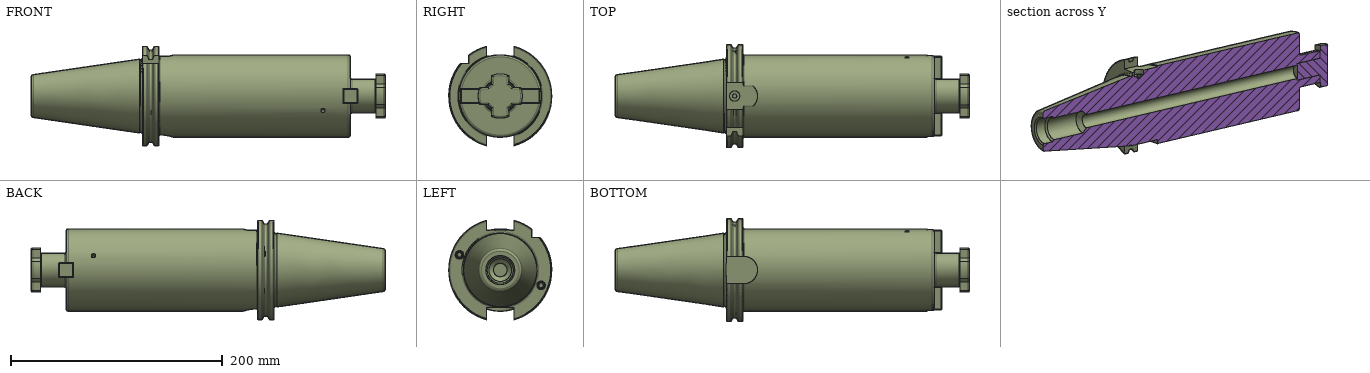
import cadquery as cq
import math

OVERALL_LENGTH = 334.8
OVERLAP = 3.5

GAUGE_DIAMETER = 70.0
GAUGE_RADIUS = GAUGE_DIAMETER / 2
TAPER_LENGTH = 102.5
TAPER_SLOPE = 7 / 48
TAPER_END_RADIUS = GAUGE_RADIUS - TAPER_LENGTH * TAPER_SLOPE
TAPER_END_FILLET = 2.7
COLLAR_RADIUS = 34.5
COLLAR_ROOT_FILLET = 1.7

FLANGE_DIAMETER = 97.5
FLANGE_RADIUS = FLANGE_DIAMETER / 2
FLANGE_WIDTH = 15.7
FLANGE_FRONT = 105.0
FLANGE_BACK = FLANGE_FRONT + FLANGE_WIDTH
FLANGE_FILLET = 1.0
GROOVE_CENTER = FLANGE_FRONT + FLANGE_WIDTH / 2
GROOVE_DEPTH = 3.18
GROOVE_MOUTH = 7.0
GROOVE_HALF_ANGLE = 30
GROOVE_FLOOR = GROOVE_MOUTH - 2 * GROOVE_DEPTH * math.tan(math.radians(GROOVE_HALF_ANGLE))

BARREL_DIAMETER = 78.0
BARREL_RADIUS = BARREL_DIAMETER / 2
BARREL_END = 301.5
BARREL_END_FILLET = 2.0
ARBOR_RADIUS = 16.0
ARBOR_CHAMFER = 0.7
BARREL_ROOT_FILLET = 1.0
ARBOR_ROOT_FILLET = 1.7

SLOT_WIDTH = 25.8
UPPER_SLOT_FLOOR = 37.8
LOWER_SLOT_FLOOR = 35.0
SLOT_END = 134.5
NOTCH_WALL_Y = -29.8
NOTCH_FLOOR_Z = 30.8
CHIP_HOLE_DIAMETER = 9.7
CHIP_HOLE_DEPTH = 4.7
CHIP_DRILL_RADIUS = 2.0
CHIP_DRILL_DEPTH = 6.7

BORE_CHAMFER = 1.5
BORE_RADIUS = 12.5
BORE_DEPTH = 11.5
THREAD_RADIUS = 10.7
THREAD_LEAD_IN = 1.7
THREAD_END = 47.0
CONE_END = 51.0
CHANNEL_RADIUS = 6.5

COOLANT_ANGLE = 20.5
COOLANT_ANGLES = (COOLANT_ANGLE, COOLANT_ANGLE + 180)
OUTLET_RADIUS = 2.0
OUTLET_DEPTH = 6.7
OUTLET_X = 276.0
PLUG_CIRCLE_RADIUS = 41.2
PLUG_RADIUS = 4.0
PLUG_RECESS = 1.0
PLUG_LENGTH = 7.5
PLUG_CHAMFER = 0.85
PLUG_SOCKET_RADIUS = 2.5
PLUG_SOCKET_DEPTH = 2.7
HEX_SIDES = 6

KEY_SIDES = (-1, 1)
KEY_WIDTH = 14.0
KEY_START = 294.5
KEY_END = 309.0
KEY_CLEARANCE = 0.5
KEY_INNER = ARBOR_RADIUS + KEY_CLEARANCE
KEY_SPAN = 75.3
KEY_OUTER = KEY_SPAN / 2
KEY_CHAMFER = 1.0

BOLT_HEAD_LENGTH = 9.0
BOLT_HEAD_START = OVERALL_LENGTH - BOLT_HEAD_LENGTH
BOLT_HEAD_DIAMETER = 42.0
BOLT_HEAD_FILLET = 1.7
BOLT_CORE_RADIUS = 14.0
LOBE_WIDTH = 16.5
SHANK_RADIUS = 8.0
SHANK_LENGTH = 26.8
SHANK_START = BOLT_HEAD_START - SHANK_LENGTH


def revolve_about_x(points):
    """Revolve a closed (x, radius) outline about the X axis."""
    return cq.Workplane("XZ").polyline(points).close().revolve(360, (0, 0, 0), (1, 0, 0))


def cylinder_x(start, end, radius, y=0.0, z=0.0):
    return cq.Workplane("YZ", origin=(start, 0, 0)).center(y, z).circle(radius).extrude(end - start)


def box_between(low, high):
    size = [b - a for a, b in zip(low, high)]
    return cq.Workplane("XY").box(*size, centered=False).translate(low)


def on_circle(radius, angle):
    """Y and Z of a point at an angle about the X axis, starting from +Y towards +Z."""
    return radius * math.cos(math.radians(angle)), radius * math.sin(math.radians(angle))


def turned_blank():
    taper = revolve_about_x([
        (0, 0),
        (0, TAPER_END_RADIUS),
        (TAPER_LENGTH, GAUGE_RADIUS),
        (TAPER_LENGTH, COLLAR_RADIUS),
        (FLANGE_FRONT, COLLAR_RADIUS),
        (FLANGE_FRONT, 0),
    ])
    taper = taper.faces("<X").edges().fillet(TAPER_END_FILLET)
    barrel = cylinder_x(FLANGE_FRONT, BARREL_END, BARREL_RADIUS)
    barrel = barrel.faces(">X").edges().fillet(BARREL_END_FILLET)
    arbor = cylinder_x(BARREL_END - OVERLAP, BOLT_HEAD_START, ARBOR_RADIUS)
    arbor = arbor.faces(">X").edges().chamfer(ARBOR_CHAMFER)
    return (
        taper.union(grooved_flange()).union(barrel).union(arbor)
        .union(root_fillet(FLANGE_FRONT, COLLAR_RADIUS, COLLAR_ROOT_FILLET, -1))
        .union(root_fillet(FLANGE_BACK, BARREL_RADIUS, BARREL_ROOT_FILLET, 1))
        .union(root_fillet(BARREL_END, ARBOR_RADIUS, ARBOR_ROOT_FILLET, 1))
    )


def root_fillet(shoulder_x, radius, size, direction):
    """Ring with a concave face between a shoulder and a smaller cylinder leaving it along +X or -X."""
    bulge = size * (1 - math.sqrt(0.5))
    outline = (
        cq.Workplane("XZ")
        .moveTo(shoulder_x - direction * size, radius - size)
        .lineTo(shoulder_x - direction * size, radius + size)
        .lineTo(shoulder_x, radius + size)
        .threePointArc(
            (shoulder_x + direction * bulge, radius + bulge),
            (shoulder_x + direction * size, radius),
        )
        .lineTo(shoulder_x + direction * size, radius - size)
        .close()
    )
    return outline.revolve(360, (0, 0, 0), (1, 0, 0))


def grooved_flange():
    """Flange disc with a V groove; its rims, groove lips and groove floor edges are rounded."""
    floor_radius = FLANGE_RADIUS - GROOVE_DEPTH
    disc = revolve_about_x([
        (FLANGE_FRONT, 0),
        (FLANGE_FRONT, FLANGE_RADIUS),
        (GROOVE_CENTER - GROOVE_MOUTH / 2, FLANGE_RADIUS),
        (GROOVE_CENTER - GROOVE_FLOOR / 2, floor_radius),
        (GROOVE_CENTER + GROOVE_FLOOR / 2, floor_radius),
        (GROOVE_CENTER + GROOVE_MOUTH / 2, FLANGE_RADIUS),
        (FLANGE_BACK, FLANGE_RADIUS),
        (FLANGE_BACK, 0),
    ])
    return disc.edges("%CIRCLE").fillet(FLANGE_FILLET)


def flange_slot(floor_z, direction):
    """Round-ended slot across the flange, open outward along +Z or -Z."""
    start = FLANGE_FRONT - OVERLAP
    end_center = SLOT_END - SLOT_WIDTH / 2
    slot = (
        cq.Workplane("XY", origin=(0, 0, direction * floor_z))
        .moveTo(start, -SLOT_WIDTH / 2)
        .lineTo(end_center, -SLOT_WIDTH / 2)
        .threePointArc((SLOT_END, 0), (end_center, SLOT_WIDTH / 2))
        .lineTo(start, SLOT_WIDTH / 2)
        .close()
    )
    return slot.extrude(direction * FLANGE_RADIUS)


def orientation_notch():
    return box_between(
        (FLANGE_FRONT - OVERLAP, -FLANGE_RADIUS, NOTCH_FLOOR_Z),
        (FLANGE_BACK + OVERLAP, NOTCH_WALL_Y, FLANGE_RADIUS),
    )


def chip_hole():
    floor = cq.Workplane("XY", origin=(GROOVE_CENTER, 0, UPPER_SLOT_FLOOR))
    hole = floor.circle(CHIP_HOLE_DIAMETER / 2).extrude(-CHIP_HOLE_DEPTH)
    return hole.union(floor.circle(CHIP_DRILL_RADIUS).extrude(-CHIP_DRILL_DEPTH))


def axial_bore():
    """Stepped bore from the taper end, narrowing to a channel that reaches the bolt."""
    return revolve_about_x([
        (0, 0),
        (0, BORE_RADIUS + BORE_CHAMFER),
        (BORE_CHAMFER, BORE_RADIUS),
        (BORE_DEPTH, BORE_RADIUS),
        (BORE_DEPTH + THREAD_LEAD_IN, THREAD_RADIUS),
        (THREAD_END, THREAD_RADIUS),
        (CONE_END, CHANNEL_RADIUS),
        (SHANK_START, CHANNEL_RADIUS),
        (SHANK_START, 0),
    ])


def coolant_outlet(angle):
    y, z = on_circle(BARREL_RADIUS - OUTLET_DEPTH, angle)
    outward = cq.Vector(0, *on_circle(1.0, angle))
    inner_end = cq.Vector(OUTLET_X, y, z)
    drill = cq.Solid.makeCylinder(OUTLET_RADIUS, OUTLET_DEPTH + OVERLAP, inner_end, outward)
    return cq.Workplane(drill)


def plug_hole(angle):
    y, z = on_circle(PLUG_CIRCLE_RADIUS, angle)
    return cylinder_x(FLANGE_FRONT, FLANGE_FRONT + PLUG_RECESS + PLUG_LENGTH, PLUG_RADIUS, y, z)


def keyway(side):
    """Slot in the barrel's end face for one drive key, from the arbor out to the rim."""
    slot = box_between(
        (KEY_START, KEY_INNER, -KEY_WIDTH / 2),
        (BARREL_END + OVERLAP, BARREL_RADIUS + OVERLAP, KEY_WIDTH / 2),
    )
    return slot if side > 0 else slot.mirror("XZ")


def make_holder():
    holder = turned_blank()
    holder = holder.cut(flange_slot(UPPER_SLOT_FLOOR, 1)).cut(flange_slot(LOWER_SLOT_FLOOR, -1))
    holder = holder.cut(orientation_notch()).cut(chip_hole()).cut(axial_bore())
    for angle in COOLANT_ANGLES:
        holder = holder.cut(coolant_outlet(angle)).cut(plug_hole(angle))
    for side in KEY_SIDES:
        holder = holder.cut(keyway(side))
    return holder.cut(bolt_shank())


def make_key(side):
    key = box_between(
        (KEY_START, KEY_INNER, -KEY_WIDTH / 2),
        (KEY_END, KEY_OUTER, KEY_WIDTH / 2),
    )
    key = key.faces(">Y or >X").edges().chamfer(KEY_CHAMFER)
    return key if side > 0 else key.mirror("XZ")


def bolt_shank():
    return cylinder_x(SHANK_START, BOLT_HEAD_START, SHANK_RADIUS)


def lobe_pair(width_y, width_z):
    head_back = cq.Workplane("YZ", origin=(BOLT_HEAD_START, 0, 0))
    return head_back.rect(width_y, width_z).extrude(BOLT_HEAD_LENGTH)


def make_bolt():
    """Round shank with a four-lobed head."""
    lobes = lobe_pair(BOLT_HEAD_DIAMETER, LOBE_WIDTH)
    lobes = lobes.union(lobe_pair(LOBE_WIDTH, BOLT_HEAD_DIAMETER))
    disc = cylinder_x(BOLT_HEAD_START, OVERALL_LENGTH, BOLT_HEAD_DIAMETER / 2)
    core = cylinder_x(BOLT_HEAD_START, OVERALL_LENGTH, BOLT_CORE_RADIUS)
    head = disc.intersect(lobes).union(core)
    head = head.faces(">X").edges().fillet(BOLT_HEAD_FILLET)
    return head.union(bolt_shank())


def make_plug(angle):
    y, z = on_circle(PLUG_CIRCLE_RADIUS, angle)
    front = FLANGE_FRONT + PLUG_RECESS
    plug = cylinder_x(front, front + PLUG_LENGTH, PLUG_RADIUS, y, z)
    plug = plug.faces("<X").edges().chamfer(PLUG_CHAMFER)
    socket = (
        cq.Workplane("YZ", origin=(front, 0, 0))
        .center(y, z)
        .polygon(HEX_SIDES, 2 * PLUG_SOCKET_RADIUS)
        .extrude(PLUG_SOCKET_DEPTH)
    )
    return plug.cut(socket)


holder = make_holder()
keys = [make_key(side) for side in KEY_SIDES]
bolt = make_bolt()
plugs = [make_plug(angle) for angle in COOLANT_ANGLES]

result = cq.Compound.makeCompound([
    holder.val(),
    *[key.val() for key in keys],
    bolt.val(),
    *[plug.val() for plug in plugs],
])